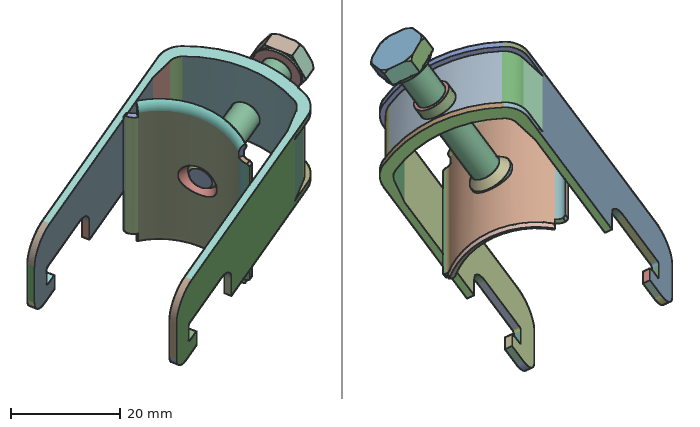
import cadquery as cq
import math


margin = 0.7

clamp_width = 31.0
half_width = clamp_width / 2
clamp_top = 12.8
clamp_bottom = -7.2
sheet = 1.5
recess_depth = 1.0
rim_height = 1.5
arch_peak = 59.0
arch_radius = 26.9
arch_centre = arch_peak - arch_radius
arch_corner_radius = 5.0
inner_corner_radius = 2.9
panel_corner_radius = 4.9
taper_start = 46.4
taper_angle = 10.0
collar_diameter = 7.5
collar_end = 60.2

mouth_start = 8.0
slot_start = 4.8
slot_end = 21.5
slot_top = 1.7
lip_top = -3.2
slot_back_radius = 4.0
hook_small_radius = 0.5
leg_top_radius = 6.0
leg_bottom_radius = 4.0

shaft_diameter = 6.0
head_top = 72.7
head_bottom = 69.1
head_across_flats = 10.0
head_across_corners = head_across_flats / math.cos(math.radians(30))
head_chamfer = 0.5
washer_face_bottom = 68.6
tip_diameter = 4.9
tip_face = 38.7

plate = 1.0
saddle_length = 38.45
saddle_inner_radius = 15.5
saddle_outer_radius = saddle_inner_radius + plate
saddle_inner_peak = 38.0
saddle_centre = saddle_inner_peak - saddle_inner_radius
saddle_half_angle = 42.4
flare_radius = 2.0
flare_angle = 68.0
flare_half_width = 11.35
tab_bend_radius = 2.0
tab_length = 32.2
tab_half_width = 13.1
tab_corner_chamfer = 0.5
neck_start = 40.9
neck_base_diameter = 8.7
neck_base = 39.25
dimple_diameter = 7.5
dimple_floor = 39.4


def plan_prism(outline, bottom, top):
    """Extrude an XY outline from one height to another."""
    return outline.extrude(top - bottom).translate((0, 0, bottom))


def arch_prism(inset, side, lean_angle, corner_radius, bottom, top):
    """Solid arch with straight legs of half width side and rounded back corners.

    inset is how far the back lies inside the clamp's outer back; lean_angle tilts the
    sides inward beyond taper_start.
    """
    lean = (arch_peak - taper_start) * math.tan(math.radians(lean_angle))
    sides = (
        cq.Workplane("XY")
        .polyline([
            (-side, 0), (side, 0), (side, taper_start), (side - lean, arch_peak),
            (lean - side, arch_peak), (-side, taper_start),
        ])
        .close()
    )
    back = cq.Workplane("XY").center(0, arch_centre).circle(arch_radius - inset)
    legs = cq.Workplane("XY").center(0, arch_centre / 2).rect(2 * side, arch_centre)
    rounded = plan_prism(back, bottom, top).union(plan_prism(legs, bottom, top))
    arch = plan_prism(sides, bottom, top).intersect(rounded)
    back_corners = cq.selectors.BoxSelector(
        (-clamp_width, taper_start + margin, bottom - margin), (clamp_width, arch_peak, top + margin))
    return arch.edges("|Z").edges(back_corners).fillet(corner_radius)


def hook_slot():
    """L-shaped slot through both legs, open at the lower edge."""
    below = clamp_bottom - margin
    slot = (
        cq.Workplane("YZ")
        .polyline([
            (mouth_start, below), (mouth_start, lip_top), (slot_start, lip_top),
            (slot_start, slot_top), (slot_end, slot_top), (slot_end, below),
        ])
        .close()
        .extrude(half_width + margin, both=True)
    )
    back_corner = cq.NearestToPointSelector((0, slot_end, slot_top))
    slot = slot.edges("|X").edges(back_corner).fillet(slot_back_radius)
    for y, z in [(mouth_start, lip_top), (slot_start, lip_top), (slot_start, slot_top)]:
        slot = slot.edges("|X").edges(cq.NearestToPointSelector((0, y, z))).fillet(hook_small_radius)
    return slot


def y_cylinder(diameter, start, end):
    """Cylinder on the screw axis between two Y positions."""
    return cq.Workplane("XZ", origin=(0, start, 0)).circle(diameter / 2).extrude(start - end)


def make_clamp():
    clamp = arch_prism(0, half_width, 0, arch_corner_radius, clamp_bottom, clamp_top)

    panel_bottom = clamp_bottom + rim_height
    panel_top = clamp_top - rim_height
    band = arch_prism(0, half_width, 0, arch_corner_radius, panel_bottom, panel_top)
    panel = arch_prism(
        recess_depth, half_width, taper_angle, panel_corner_radius, panel_bottom, panel_top)
    clamp = clamp.cut(band.cut(panel))

    clamp = clamp.union(y_cylinder(collar_diameter, arch_centre, collar_end))
    inside = arch_prism(
        recess_depth + sheet, half_width - sheet, taper_angle, inner_corner_radius,
        clamp_bottom - margin, clamp_top + margin)
    clamp = clamp.cut(inside)

    clamp = clamp.edges("|X").edges("<Y").edges(">Z").fillet(leg_top_radius)
    clamp = clamp.edges("|X").edges("<Y").edges("<Z").fillet(leg_bottom_radius)
    clamp = clamp.cut(hook_slot())
    return clamp.cut(y_cylinder(shaft_diameter, arch_centre, collar_end))


def saddle_plate():
    """Plate with ends rolled outward, revolved about an axis parallel to Z and trimmed at its sides."""
    straight_end = saddle_length / 2 - flare_radius * math.sin(math.radians(flare_angle))
    bend_centre_r = saddle_inner_radius + flare_radius

    def flare_point(radius, angle, side):
        angle = math.radians(angle)
        return bend_centre_r - radius * math.cos(angle), side * (straight_end + radius * math.sin(angle))

    inner_bend = flare_radius
    outer_bend = flare_radius - plate
    half = flare_angle / 2
    profile = (
        cq.Workplane("YZ", origin=(0, saddle_centre, 0))
        .moveTo(*flare_point(inner_bend, 0, -1))
        .lineTo(*flare_point(inner_bend, 0, 1))
        .threePointArc(flare_point(inner_bend, half, 1), flare_point(inner_bend, flare_angle, 1))
        .lineTo(*flare_point(outer_bend, flare_angle, 1))
        .threePointArc(flare_point(outer_bend, half, 1), flare_point(outer_bend, 0, 1))
        .lineTo(*flare_point(outer_bend, 0, -1))
        .threePointArc(flare_point(outer_bend, half, -1), flare_point(outer_bend, flare_angle, -1))
        .lineTo(*flare_point(inner_bend, flare_angle, -1))
        .threePointArc(flare_point(inner_bend, half, -1), flare_point(inner_bend, 0, -1))
        .close()
    )
    arc_plate = profile.revolve(2 * saddle_half_angle, (0, 0), (0, 1))
    axis_start = (0, saddle_centre, 0)
    axis_end = (0, saddle_centre, 1)
    arc_plate = arc_plate.rotate(axis_start, axis_end, -saddle_half_angle)
    trim = cq.Workplane("XY").box(2 * flare_half_width, 4 * saddle_outer_radius, 2 * saddle_length)
    return arc_plate.intersect(trim.translate((0, saddle_centre, 0)))


def saddle_tab():
    """Side tab on the +X edge: the plate bends back until it points along X."""
    edge_angle = math.radians(saddle_half_angle)
    bend_centre_r = saddle_outer_radius + tab_bend_radius
    centre_x = bend_centre_r * math.sin(edge_angle)
    centre_y = saddle_centre + bend_centre_r * math.cos(edge_angle)

    def bend_point(radius, angle):
        return centre_x - radius * math.sin(angle), centre_y - radius * math.cos(angle)

    outside = tab_bend_radius + plate
    tab = (
        cq.Workplane("XY")
        .moveTo(*bend_point(outside, edge_angle))
        .threePointArc(bend_point(outside, edge_angle / 2), bend_point(outside, 0))
        .lineTo(tab_half_width, centre_y - outside)
        .lineTo(tab_half_width, centre_y - tab_bend_radius)
        .lineTo(*bend_point(tab_bend_radius, 0))
        .threePointArc(bend_point(tab_bend_radius, edge_angle / 2), bend_point(tab_bend_radius, edge_angle))
        .close()
    )
    tab = plan_prism(tab, -tab_length / 2, tab_length / 2)
    return tab.faces(">X").edges("|Y").chamfer(tab_corner_chamfer)


def revolve_about_screw(points):
    """Solid of revolution about the screw axis from (radius, Y) points."""
    return cq.Workplane("XY").polyline(points).close().revolve(360, (0, 0), (0, 1))


def screw_head():
    """Hexagon with corners on the X axis, chamfered on top, above a round washer face."""
    hexagon = (
        cq.Workplane("XZ", origin=(0, head_top, 0))
        .polygon(6, head_across_corners)
        .extrude(head_top - head_bottom)
    )
    corner_radius = head_across_corners / 2
    envelope = revolve_about_screw([
        (0, head_bottom), (corner_radius, head_bottom), (corner_radius, head_top - head_chamfer),
        (corner_radius - head_chamfer, head_top), (0, head_top),
    ])
    return hexagon.intersect(envelope).union(y_cylinder(head_across_flats, washer_face_bottom, head_bottom))


def make_screw_with_saddle():
    saddle = saddle_plate()
    tab = saddle_tab()
    saddle = saddle.union(tab).union(tab.mirror("YZ"))

    shaft_radius = shaft_diameter / 2
    neck = revolve_about_screw([
        (0, neck_start), (shaft_radius, neck_start), (neck_base_diameter / 2, neck_base),
        (neck_base_diameter / 2, saddle_inner_peak + plate / 2), (0, saddle_inner_peak + plate / 2),
    ])
    body = saddle.union(neck).union(y_cylinder(shaft_diameter, saddle_inner_peak, washer_face_bottom))

    dimple_radius = dimple_diameter / 2
    tip_radius = tip_diameter / 2
    slope = (dimple_radius - shaft_radius) / (dimple_floor - saddle_inner_peak)
    mouth = saddle_inner_peak - plate
    mouth_radius = dimple_radius + plate * slope
    dimple = revolve_about_screw([
        (0, mouth), (mouth_radius, mouth), (shaft_radius, dimple_floor),
        (tip_radius, tip_face), (0, tip_face),
    ])
    return body.cut(dimple).union(screw_head())


clamp = make_clamp()
screw_with_saddle = make_screw_with_saddle()
result = cq.Compound.makeCompound([clamp.val(), screw_with_saddle.val()])